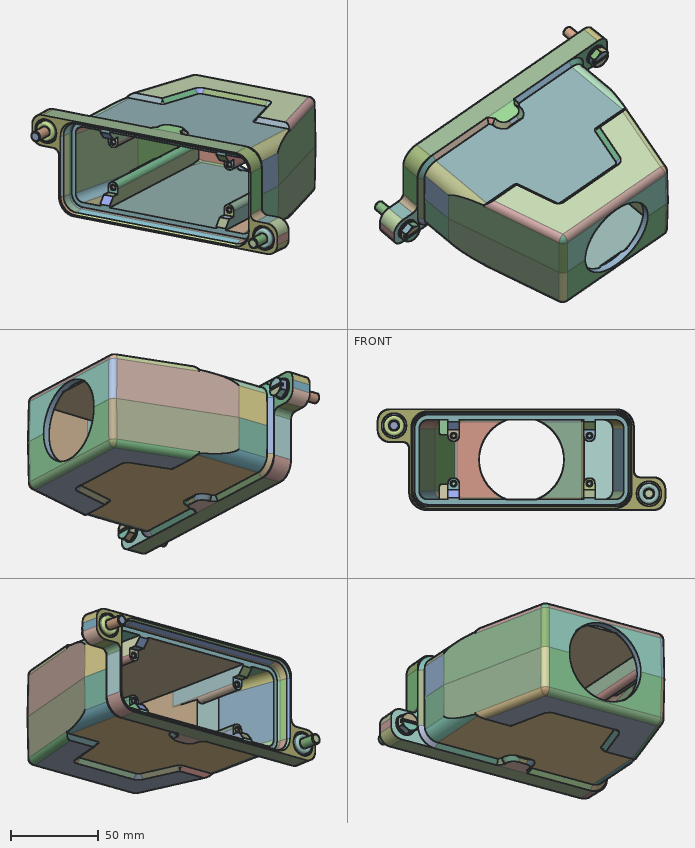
import cadquery as cq
import math


FLANGE_HALF_X = 64.5
HALF_Z = 29.0
FLANGE_DEPTH = 12.3
FLANGE_CORNER = 10.5
FLANGE_DRAFT = 1.0
EAR_REACH = 82.5
EAR_WIDTH = 19.0
EAR_CORNER = 7.0
EAR_ROOT = 3.5
SCREW_X = EAR_REACH - EAR_WIDTH / 2
SCREW_Z = HALF_Z - EAR_WIDTH / 2

BODY_HALF_X = 61.5
BODY_HALF_Z = 26.3
BODY_CORNER = 8.8
FLARE = HALF_Z - BODY_HALF_Z
BACK_Y = 111.0
TAPER_START_Y = 35.2
SIDE_TAPER = 15.0
BACK_HALF_X = BODY_HALF_X - (BACK_Y - TAPER_START_Y) * math.tan(math.radians(SIDE_TAPER))
HOOD_DRAFT = 1.0
HOOD_FILLET = 4.0
CORNER_MARGIN = 1.0
STEP_Y = 58.5
STEP_HEIGHT = HALF_Z - BODY_HALF_Z
STEP_WALL_TAPER = -45
NOTCH_Y = 86.5
NOTCH_TOP_HALF_X = 22.6
NOTCH_BASE_HALF_X = 30.2
NOTCH_CORNER = 2.0
ENTRY_DIAMETER = 48.5

PAD_HALF_X = 7.6
PAD_END_Y = 22.6
PAD_CORNER = 5.0
PAD_FLARE_Y = 15.9
PAD_ROOT_Y = FLANGE_DEPTH - 2
PAD_EMBED = 0.3

MOUTH_HALF_X = 63.2
MOUTH_HALF_Z = 27.8
MOUTH_CORNER = 9.5
LIP_DEPTH = 1.7
LIP_WIDTH = 1.0
SEAT_STEP_Y = 6.8
SEAT_STEP_WIDTH = 0.9
SEAT_DRAFT_WIDTH = 0.2
SEAT_DEPTH = 9.0

CAVITY_HALF_X = 58.6
CAVITY_HALF_Z = 22.8
CAVITY_CORNER = 5.0
CAVITY_FLOOR_Y = 107.0
FLOOR_FILLET = 1.0
LEFT_BEND_X = -49.6
LEFT_BEND_Y = 62.6
LEFT_FLOOR_X = -38.0
SHELF_Y = 50.0
SHELF_OUTER_X = 52.2
SHELF_INNER_X = 36.0
RIGHT_FLOOR_X = 35.2

PILLAR_X = 38.9
PILLAR_Z = 13.7
PILLAR_RADIUS = 3.2
PILLAR_FRONT_Y = 18.0
PILLAR_BORE = 2.5
PILLAR_BORE_MOUTH = 3.6
PILLAR_BORE_DEPTH = 12.0
TOE_Z = 17.2
TOE_Y = 13.0
TOE_END_Z = 21.8
SIDE_PAD_X = -47.0
SIDE_PAD_Z = 14.2
SIDE_PAD_ROUND = 1.0

SHANK_DIAMETER = 6.0
SHANK_TIP_Y = -11.7
TIP_CHAMFER = 0.5
COLLAR_DIAMETER = 12.0
COLLAR_HEIGHT = 1.8
COLLAR_SEAT_DIAMETER = 14.3
COLLAR_SEAT_DEPTH = 1.5
WASHER_DIAMETER = 12.3
WASHER_THICKNESS = 1.2
HEAD_FLATS = 10.5
HEAD_TOP_Y = 17.9
HEAD_CHAMFER = 0.7
SLOT_WIDTH = 1.4
SLOT_DEPTH = 2.0

OVERLAP = 1.0


def section_at(y):
    """Plane at depth y, drawn in X and -Z, extruding toward +Y."""
    return cq.Workplane(cq.Plane(origin=(0, y, 0), xDir=(1, 0, 0), normal=(0, 1, 0)))


def rod(x, z, diameter, y_start, y_end):
    return section_at(y_start).center(x, -z).circle(diameter / 2).extrude(y_end - y_start)


def rounded_sketch(half_x, half_z, corner):
    return cq.Sketch().rect(2 * half_x, 2 * half_z).vertices().fillet(corner)


def rounded_loft(y_start, start, y_end, end):
    """Drafted rounded block; start and end hold half X, half Z and corner radius."""
    first = rounded_sketch(*start)
    last = rounded_sketch(*end).moved(cq.Location(cq.Vector(0, 0, y_end - y_start)))
    return section_at(y_start).placeSketch(first, last).loft()


def both_sides(upper):
    """A feature of the +Z side together with its mirror image."""
    return upper.union(upper.mirror("XY"))


def make_flange():
    """Drafted plate with one ear at each of two opposite corners."""
    ear_inner_z = HALF_Z - EAR_WIDTH
    outline = [
        (-EAR_REACH, HALF_Z),
        (FLANGE_HALF_X, HALF_Z),
        (FLANGE_HALF_X, -ear_inner_z),
        (EAR_REACH, -ear_inner_z),
        (EAR_REACH, -HALF_Z),
        (-FLANGE_HALF_X, -HALF_Z),
        (-FLANGE_HALF_X, ear_inner_z),
        (-EAR_REACH, ear_inner_z),
    ]
    sketch = cq.Sketch().polygon(outline + outline[:1]).vertices("<X or >X").fillet(EAR_CORNER)
    for side in (-1, 1):
        corner = cq.selectors.NearestToPointSelector((side * FLANGE_HALF_X, side * HALF_Z, 0))
        sketch = sketch.reset().vertices(corner).fillet(FLANGE_CORNER)
        root = cq.selectors.NearestToPointSelector((side * FLANGE_HALF_X, -side * ear_inner_z, 0))
        sketch = sketch.reset().vertices(root).fillet(EAR_ROOT)
    back = cq.Workplane("XZ", origin=(0, FLANGE_DEPTH, 0))
    return back.placeSketch(sketch.reset()).extrude(FLANGE_DEPTH, taper=FLANGE_DRAFT)


def make_flare():
    """Sloped foot between the flange and the lower body."""
    return rounded_loft(
        FLANGE_DEPTH,
        (BODY_HALF_X + FLARE, BODY_HALF_Z + FLARE, BODY_CORNER + FLARE),
        FLANGE_DEPTH + FLARE,
        (BODY_HALF_X, BODY_HALF_Z, BODY_CORNER),
    )


def make_hood_half():
    """Upper half of the drafted plan of the hood, still with sharp edges."""
    return (
        cq.Workplane("XY")
        .moveTo(-BODY_HALF_X, 0)
        .lineTo(-BODY_HALF_X, TAPER_START_Y)
        .lineTo(-BACK_HALF_X, BACK_Y)
        .lineTo(BACK_HALF_X, BACK_Y)
        .lineTo(BODY_HALF_X, TAPER_START_Y)
        .lineTo(BODY_HALF_X, 0)
        .close()
        .extrude(HALF_Z, taper=HOOD_DRAFT)
    )


def make_core():
    """Lower body, reaching back to the step."""
    section = section_at(FLANGE_DEPTH).placeSketch(rounded_sketch(BODY_HALF_X, BODY_HALF_Z, BODY_CORNER))
    block = section.extrude(STEP_Y - FLANGE_DEPTH)
    return block.intersect(both_sides(make_hood_half()))


def make_step_recess():
    """Space above the lower broad face, with 45 degree walls along the step and its notch."""
    clear_x = 2 * BODY_HALF_X
    step_corners = [
        (-NOTCH_BASE_HALF_X, STEP_Y),
        (-NOTCH_TOP_HALF_X, NOTCH_Y),
        (NOTCH_TOP_HALF_X, NOTCH_Y),
        (NOTCH_BASE_HALF_X, STEP_Y),
    ]
    outline = [
        (-clear_x, 0),
        (-clear_x, STEP_Y),
        *step_corners,
        (clear_x, STEP_Y),
        (clear_x, 0),
    ]
    sketch = cq.Sketch().polygon(outline + outline[:1])
    for x, y in step_corners:
        corner = cq.selectors.NearestToPointSelector((x, y, 0))
        sketch = sketch.reset().vertices(corner).fillet(NOTCH_CORNER)
    floor = cq.Workplane("XY", origin=(0, 0, BODY_HALF_Z))
    above_hood = STEP_HEIGHT + 0.1 * OVERLAP
    return floor.placeSketch(sketch.reset()).extrude(above_hood, taper=STEP_WALL_TAPER)


def make_hood():
    """Raised tapered hood behind the step."""
    half = make_hood_half()
    back_corners = cq.selectors.BoxSelector(
        (-BODY_HALF_X, BACK_Y - CORNER_MARGIN, CORNER_MARGIN),
        (BODY_HALF_X, BACK_Y + CORNER_MARGIN, HALF_Z - CORNER_MARGIN),
    )
    half = half.edges(back_corners).fillet(HOOD_FILLET)
    half = half.faces(">Z").edges("not <Y").fillet(HOOD_FILLET)
    behind_step = cq.Workplane("XY").box(4 * BODY_HALF_X, BACK_Y, HALF_Z, centered=(True, False, False))
    half = half.intersect(behind_step.translate((0, STEP_Y, 0)))
    return both_sides(half.cut(make_step_recess()))


def make_locating_pad():
    """Raised arch with sloped sides whose foot widens toward the flange."""
    foot_half_x = PAD_HALF_X + FLARE
    outline = [
        (-foot_half_x, PAD_ROOT_Y),
        (-foot_half_x, FLANGE_DEPTH),
        (-PAD_HALF_X, PAD_FLARE_Y),
        (-PAD_HALF_X, PAD_END_Y),
        (PAD_HALF_X, PAD_END_Y),
        (PAD_HALF_X, PAD_FLARE_Y),
        (foot_half_x, FLANGE_DEPTH),
        (foot_half_x, PAD_ROOT_Y),
    ]
    sketch = cq.Sketch().polygon(outline + outline[:1])
    sketch = sketch.vertices(">Y").fillet(PAD_CORNER)
    top = cq.Workplane("XY", origin=(0, 0, HALF_Z))
    pad = top.placeSketch(sketch.reset()).extrude(-FLARE - PAD_EMBED, taper=STEP_WALL_TAPER)
    keep = cq.Workplane("XY").box(4 * PAD_HALF_X, FLANGE_DEPTH, HALF_Z, centered=(True, False, False))
    behind_flange = keep.translate((0, FLANGE_DEPTH, HALF_Z / 2))
    return both_sides(pad.intersect(behind_flange))


def make_seal_seat():
    """Stepped opening at the mouth: a chamfered lip, then drafted walls down to its ledge."""
    insets = (0, LIP_WIDTH, SEAT_STEP_WIDTH, SEAT_DRAFT_WIDTH)
    depths = (0, LIP_DEPTH, SEAT_STEP_Y, SEAT_DEPTH)
    size = (MOUTH_HALF_X, MOUTH_HALF_Z, MOUTH_CORNER)
    seat = cq.Workplane("XZ")
    for stage in range(1, len(depths)):
        inner_size = tuple(length - insets[stage] for length in size)
        seat = seat.union(rounded_loft(depths[stage - 1], size, depths[stage], inner_size))
        size = inner_size
    return seat


def make_pillar(z_side, x_side):
    """Insert pillar with a ramped toe that runs down to the seat ledge."""
    x = x_side * PILLAR_X
    beyond_wall = 2 * CAVITY_HALF_Z - PILLAR_Z
    length = CAVITY_FLOOR_Y - PILLAR_FRONT_Y + OVERLAP
    post = rod(x, PILLAR_Z, 2 * PILLAR_RADIUS, PILLAR_FRONT_Y, PILLAR_FRONT_Y + length)
    web = cq.Workplane("XY").box(2 * PILLAR_RADIUS, length, beyond_wall, centered=(True, False, False))
    post = post.union(web.translate((x, PILLAR_FRONT_Y, PILLAR_Z)))
    toe_side = [
        (PILLAR_FRONT_Y + OVERLAP, TOE_Z),
        (TOE_Y, TOE_Z),
        (SEAT_DEPTH, TOE_END_Z),
        (SEAT_DEPTH, CAVITY_HALF_Z + OVERLAP),
        (PILLAR_FRONT_Y + OVERLAP, CAVITY_HALF_Z + OVERLAP),
    ]
    toe_start = cq.Workplane("YZ", origin=(x - PILLAR_RADIUS, 0, 0))
    post = post.union(toe_start.polyline(toe_side).close().extrude(2 * PILLAR_RADIUS))
    return post if z_side > 0 else post.mirror("XY")


def make_side_pad(z_side):
    """Shoulder beside a left pillar, level with the shelf of the right side."""
    width = -PILLAR_X - SIDE_PAD_X
    height = CAVITY_HALF_Z - SIDE_PAD_Z + OVERLAP
    pad = cq.Workplane("XY").box(width, CAVITY_FLOOR_Y - SHELF_Y, height, centered=False)
    pad = pad.edges("|Y and <X and <Z").fillet(SIDE_PAD_ROUND)
    pad = pad.translate((SIDE_PAD_X, SHELF_Y, SIDE_PAD_Z))
    return pad if z_side > 0 else pad.mirror("XY")


def make_cavity():
    """Inner space, with the pillars and shoulders left standing."""
    plan = [
        (-CAVITY_HALF_X, SEAT_DEPTH),
        (LEFT_BEND_X, LEFT_BEND_Y),
        (LEFT_FLOOR_X, CAVITY_FLOOR_Y),
        (RIGHT_FLOOR_X, CAVITY_FLOOR_Y),
        (SHELF_INNER_X, SHELF_Y),
        (SHELF_OUTER_X, SHELF_Y),
        (CAVITY_HALF_X, SEAT_DEPTH),
    ]
    cavity = cq.Workplane("XY").workplane(offset=-CAVITY_HALF_Z).polyline(plan).close()
    cavity = cavity.extrude(2 * CAVITY_HALF_Z)
    for low_x, high_x in ((-BODY_HALF_X, LEFT_FLOOR_X), (SHELF_OUTER_X, BODY_HALF_X)):
        wall = cq.selectors.BoxSelector(
            (low_x, SEAT_DEPTH, -HALF_Z),
            (high_x, CAVITY_FLOOR_Y, HALF_Z),
        )
        cavity = cavity.edges("#Z").edges(wall).fillet(CAVITY_CORNER)
    cavity = cavity.faces(">Y").edges().fillet(FLOOR_FILLET)
    for z_side in (-1, 1):
        for x_side in (-1, 1):
            cavity = cavity.cut(make_pillar(z_side, x_side))
        cavity = cavity.cut(make_side_pad(z_side))
    return cavity


def make_pillar_bore(x, z):
    """Blind screw hole in a pillar, with a countersunk mouth."""
    bore = rod(x, z, PILLAR_BORE, PILLAR_FRONT_Y - OVERLAP, PILLAR_FRONT_Y + PILLAR_BORE_DEPTH)
    mouth_depth = (PILLAR_BORE_MOUTH - PILLAR_BORE) / 2
    mouth = (
        section_at(PILLAR_FRONT_Y)
        .center(x, -z)
        .circle(PILLAR_BORE_MOUTH / 2)
        .workplane(offset=mouth_depth)
        .circle(PILLAR_BORE / 2)
        .loft()
    )
    return bore.union(mouth)


def make_housing():
    housing = make_flange().union(make_flare()).union(make_core())
    housing = housing.union(make_hood()).union(make_locating_pad())
    housing = housing.cut(make_seal_seat()).cut(make_cavity())
    housing = housing.cut(rod(0, 0, ENTRY_DIAMETER, CAVITY_FLOOR_Y - OVERLAP, BACK_Y + OVERLAP))
    for x in (-PILLAR_X, PILLAR_X):
        for z in (-PILLAR_Z, PILLAR_Z):
            housing = housing.cut(make_pillar_bore(x, z))
    for side in (-1, 1):
        x = side * SCREW_X
        z = -side * SCREW_Z
        housing = housing.cut(rod(x, z, SHANK_DIAMETER, -OVERLAP, FLANGE_DEPTH + OVERLAP))
        housing = housing.cut(rod(x, z, COLLAR_SEAT_DIAMETER, -OVERLAP, COLLAR_SEAT_DEPTH))
    return housing


def make_collar_ring(x, z):
    """Rounded bead of the collar that stands out from the mounting face."""
    inner = SHANK_DIAMETER / 2
    outer = COLLAR_DIAMETER / 2
    bead = cq.Workplane("XY").moveTo(inner, 0).lineTo(outer, 0)
    bead = bead.threePointArc(((inner + outer) / 2, -COLLAR_HEIGHT), (inner, 0)).close()
    return bead.revolve(360, (0, 0, 0), (0, 1, 0)).translate((x, 0, z))


def make_screw(x, z):
    """Slotted hexagon flange screw with a rounded retaining collar under the mounting face."""
    shank = rod(x, z, SHANK_DIAMETER, SHANK_TIP_Y, FLANGE_DEPTH + OVERLAP)
    shank = shank.faces("<Y").chamfer(TIP_CHAMFER)
    collar = rod(x, z, COLLAR_DIAMETER, 0, COLLAR_SEAT_DEPTH).union(make_collar_ring(x, z))
    washer_top = FLANGE_DEPTH + WASHER_THICKNESS
    washer = rod(x, z, WASHER_DIAMETER, FLANGE_DEPTH, washer_top).faces(">Y").chamfer(WASHER_THICKNESS / 2)
    corner_diameter = HEAD_FLATS / math.cos(math.pi / 6)
    head = section_at(FLANGE_DEPTH).center(x, -z).transformed(rotate=(0, 0, 30))
    head = head.polygon(6, corner_diameter).extrude(HEAD_TOP_Y - FLANGE_DEPTH)
    crown = rod(x, z, corner_diameter, FLANGE_DEPTH, HEAD_TOP_Y).faces(">Y").chamfer(HEAD_CHAMFER)
    slot = cq.Workplane("XY").box(2 * corner_diameter, 2 * SLOT_DEPTH, SLOT_WIDTH)
    head = head.intersect(crown).cut(slot.translate((x, HEAD_TOP_Y, z)))
    return shank.union(collar).union(washer).union(head)


housing = make_housing()
screws = [make_screw(side * SCREW_X, -side * SCREW_Z) for side in (-1, 1)]
result = cq.Compound.makeCompound([housing.val(), *[screw.val() for screw in screws]])